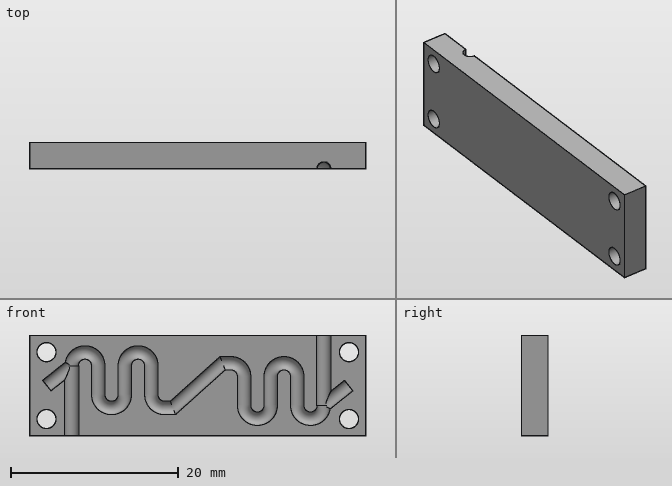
import cadquery as cq
import math

length = 40.05
thickness = 3.15
height = 12.0
face_y = -thickness / 2

hole_diameter = 2.25
hole_inset = 2.0

channel_radius = 0.8
lane_pitch = 3.15
bend_radius = lane_pitch / 2
first_lane_x = -15.03
upper_bend_z = 2.35
lower_bend_z = -1.1
diagonal_start_x = -2.95

inlet_radius = 0.85
branch_end_x = -18.0
branch_end_z = 0.0


def half_turn(point):
    """Turn an (x, z) point 180 degrees about the Y axis."""
    return (-point[0], -point[1])


def round_bar(start, end, radius):
    """Cylinder between two (x, z) points, with its axis on the channelled face."""
    dx = end[0] - start[0]
    dz = end[1] - start[1]
    return cq.Workplane(
        cq.Solid.makeCylinder(
            radius,
            math.hypot(dx, dz),
            cq.Vector(start[0], face_y, start[1]),
            cq.Vector(dx, 0, dz),
        )
    )


def serpentine():
    """Round bar following the lanes, bends and central diagonal."""
    lanes = [first_lane_x + i * lane_pitch for i in range(4)]
    crest_z = upper_bend_z + bend_radius
    trough_z = lower_bend_z - bend_radius
    diagonal_start = (diagonal_start_x, trough_z)
    quarter_offset = bend_radius * math.sqrt(0.5)
    last_bend_x = lanes[3] + bend_radius
    last_bend_mid = (last_bend_x - quarter_offset, lower_bend_z - quarter_offset)
    last_bend_end = (last_bend_x, trough_z)

    path = (
        cq.Workplane("XZ", origin=(0, face_y, 0))
        .moveTo(lanes[0], upper_bend_z)
        .threePointArc((lanes[0] + bend_radius, crest_z), (lanes[1], upper_bend_z))
        .lineTo(lanes[1], lower_bend_z)
        .threePointArc((lanes[1] + bend_radius, trough_z), (lanes[2], lower_bend_z))
        .lineTo(lanes[2], upper_bend_z)
        .threePointArc((lanes[2] + bend_radius, crest_z), (lanes[3], upper_bend_z))
        .lineTo(lanes[3], lower_bend_z)
        .threePointArc(last_bend_mid, last_bend_end)
        .lineTo(*diagonal_start)
        .lineTo(*half_turn(diagonal_start))
        .lineTo(*half_turn(last_bend_end))
        .threePointArc(half_turn(last_bend_mid), (-lanes[3], -lower_bend_z))
        .lineTo(-lanes[3], -upper_bend_z)
        .threePointArc((-lanes[2] - bend_radius, -crest_z), (-lanes[2], -upper_bend_z))
        .lineTo(-lanes[2], -lower_bend_z)
        .threePointArc((-lanes[1] - bend_radius, -trough_z), (-lanes[1], -lower_bend_z))
        .lineTo(-lanes[1], -upper_bend_z)
        .threePointArc((-lanes[0] - bend_radius, -crest_z), (-lanes[0], -upper_bend_z))
    )
    return (
        cq.Workplane("XY", origin=(lanes[0], face_y, upper_bend_z))
        .circle(channel_radius)
        .sweep(path, transition="right")
    )


plate = cq.Workplane("XY").box(length, thickness, height)
plate = (
    plate.faces("<Y")
    .workplane(centerOption="CenterOfBoundBox")
    .rect(length - 2 * hole_inset, height - 2 * hole_inset, forConstruction=True)
    .vertices()
    .hole(hole_diameter)
)

result = plate.cut(serpentine())

junction = (first_lane_x, upper_bend_z)
inlet_end = (first_lane_x, -height / 2)
branch_end = (branch_end_x, branch_end_z)
for end, radius in ((inlet_end, inlet_radius), (branch_end, channel_radius)):
    result = result.cut(round_bar(junction, end, radius))
    result = result.cut(round_bar(half_turn(junction), half_turn(end), radius))